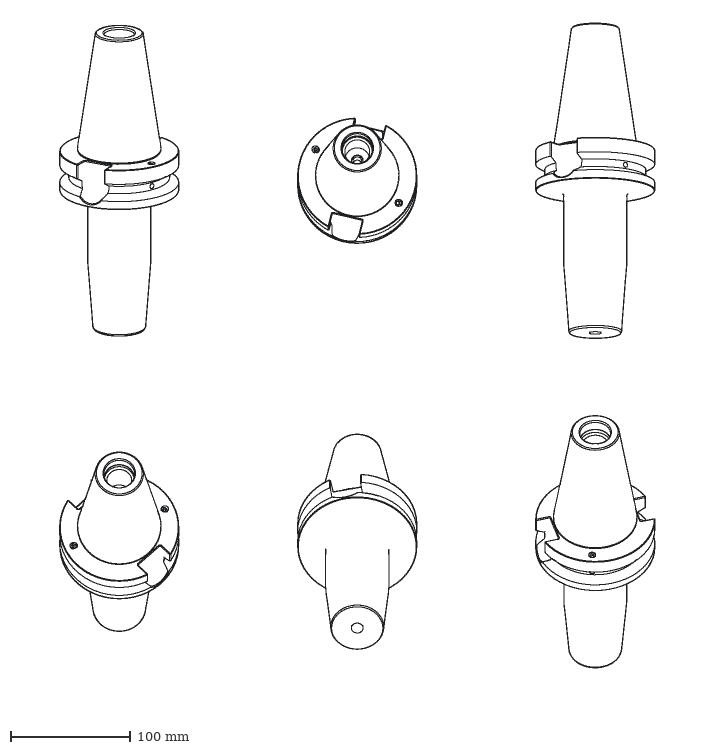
import cadquery as cq
import math

total_height = 261.8
gauge_height = 160.0
flange_top = 157.0
flange_bottom = 122.0
nose_cone_top = 57.3

flange_radius = 50.0
taper_large_radius = 35.0
relief_radius = 34.5
relief_height = 1.0
taper_slope = 7 / 48
nose_radius = 26.5
nose_tip_radius = 22.3

flange_chamfer = 0.5
taper_tip_chamfer = 1.0
nose_tip_chamfer_height = 1.5
nose_tip_chamfer_width = 0.8
nose_root_fillet = 5.0

groove_height = 137.0
groove_floor_radius = 42.5
groove_floor_width = 6.5
groove_wall_angle = 30.0

slot_width = 26.0
slot_floor_distance = 35.9
slot_arc_height = 138.0
slot_edge_chamfer = 0.8
slot_floor_fillet = 0.8

tolerance = 0.03

stud_mouth_radius = 13.5
stud_pilot_radius = 12.8
stud_pilot_depth = 10.0
stud_thread_radius = 12.5
stud_thread_depth = 13.4
stud_core_radius = 10.5
stud_core_depth = 44.5
stud_mouth_depth = 1.5
bore_step_angle = 30.0
coolant_radius = 5.0

stop_screw_length = 13.0
stop_screw_hole_radius = 3.7
stop_screw_mouth_radius = 4.7

screw_angles = (160.0, 340.0)
set_screw_pitch_radius = 42.0
set_screw_radius = 3.0
set_screw_length = 10.5
set_screw_recess = 2.0
set_screw_tilt = 20.0
hex_across_flats = 3.1
hex_depth = 3.1
plug_radius = 2.0
plug_length = 7.9

bore_step_slope = math.tan(math.radians(bore_step_angle))
stud_thread_step = (stud_thread_radius - stud_core_radius) * bore_step_slope
stud_core_bottom = total_height - stud_core_depth
stop_screw_top = stud_core_bottom - (stud_core_radius - coolant_radius) * bore_step_slope


def vertical_cylinder(radius, bottom, top):
    return cq.Workplane("XY").workplane(offset=bottom).circle(radius).extrude(top - bottom)


def holder_blank():
    """Revolved outside of the holder: nose, grooved flange and steep taper."""
    taper_small_radius = taper_large_radius - taper_slope * (total_height - gauge_height)
    wall_rise = (flange_radius - groove_floor_radius) * math.tan(math.radians(groove_wall_angle))
    floor_low = groove_height - groove_floor_width / 2
    floor_high = groove_height + groove_floor_width / 2
    arc_drop = nose_root_fillet * math.sqrt(0.5)
    arc_centre_radius = nose_radius + nose_root_fillet
    arc_centre_height = flange_bottom - nose_root_fillet
    return (
        cq.Workplane("XZ")
        .moveTo(0, 0)
        .lineTo(nose_tip_radius - nose_tip_chamfer_width, 0)
        .lineTo(nose_tip_radius, nose_tip_chamfer_height)
        .lineTo(nose_radius, nose_cone_top)
        .lineTo(nose_radius, arc_centre_height)
        .threePointArc(
            (arc_centre_radius - arc_drop, arc_centre_height + arc_drop),
            (arc_centre_radius, flange_bottom),
        )
        .lineTo(flange_radius - flange_chamfer, flange_bottom)
        .lineTo(flange_radius, flange_bottom + flange_chamfer)
        .lineTo(flange_radius, floor_low - wall_rise)
        .lineTo(groove_floor_radius, floor_low)
        .lineTo(groove_floor_radius, floor_high)
        .lineTo(flange_radius, floor_high + wall_rise)
        .lineTo(flange_radius, flange_top - flange_chamfer)
        .lineTo(flange_radius - flange_chamfer, flange_top)
        .lineTo(relief_radius, flange_top)
        .lineTo(relief_radius, flange_top + relief_height)
        .lineTo(taper_large_radius, flange_top + relief_height)
        .lineTo(taper_large_radius, gauge_height)
        .lineTo(taper_small_radius, total_height - taper_tip_chamfer)
        .lineTo(taper_small_radius - taper_tip_chamfer, total_height)
        .lineTo(0, total_height)
        .close()
        .revolve(360, (0, 0, 0), (0, 1, 0))
    )


def axial_bore():
    """Stepped pull stud bore with a coolant hole that runs to the bottom face."""
    return (
        cq.Workplane("XZ")
        .moveTo(0, 0)
        .lineTo(coolant_radius, 0)
        .lineTo(coolant_radius, stop_screw_top)
        .lineTo(stud_core_radius, stud_core_bottom)
        .lineTo(stud_core_radius, total_height - stud_thread_depth - stud_thread_step)
        .lineTo(stud_thread_radius, total_height - stud_thread_depth)
        .lineTo(stud_thread_radius, total_height - stud_pilot_depth)
        .lineTo(stud_pilot_radius, total_height - stud_pilot_depth)
        .lineTo(stud_pilot_radius, total_height - stud_mouth_depth)
        .lineTo(stud_mouth_radius, total_height)
        .lineTo(0, total_height)
        .close()
        .revolve(360, (0, 0, 0), (0, 1, 0))
    )


def drive_slot():
    """Round-ended slot cutter on the -Y side, open at the flange top."""
    half_width = slot_width / 2
    return (
        cq.Workplane("XZ", origin=(0, -slot_floor_distance, 0))
        .moveTo(-half_width, flange_top)
        .lineTo(-half_width, slot_arc_height)
        .threePointArc((0, slot_arc_height - half_width), (half_width, slot_arc_height))
        .lineTo(half_width, flange_top)
        .close()
        .extrude(flange_radius)
        .faces(">Y").edges("not >Z")
        .fillet(slot_floor_fillet)
    )


def place_set_screw_part(part, angle):
    """Move a part from the origin to the flange top, tilted about the hole mouth."""
    tilted = part.rotate((0, 0, 0), (0, 1, 0), set_screw_tilt)
    return tilted.translate((set_screw_pitch_radius, 0, flange_top)).rotate((0, 0, 0), (0, 0, 1), angle)


def set_screw_hole(angle):
    bottom = -set_screw_recess - set_screw_length
    return place_set_screw_part(vertical_cylinder(set_screw_radius, bottom, set_screw_radius), angle)


def set_screw(angle):
    """Headless screw with a hexagon socket in its top."""
    head = -set_screw_recess
    hex_corner_diameter = hex_across_flats / math.cos(math.pi / 6)
    body = vertical_cylinder(set_screw_radius, head - set_screw_length, head)
    socket = (
        cq.Workplane("XY")
        .workplane(offset=head - hex_depth)
        .polygon(6, hex_corner_diameter)
        .extrude(hex_depth)
    )
    return place_set_screw_part(body.cut(socket), angle)


def groove_plug(angle):
    """Radial plug whose outer end follows the groove floor."""
    rod = (
        cq.Workplane("YZ", origin=(groove_floor_radius - plug_length, 0, groove_height))
        .circle(plug_radius)
        .extrude(2 * plug_length)
    )
    groove_core = vertical_cylinder(groove_floor_radius, flange_bottom, flange_top)
    return rod.intersect(groove_core).rotate((0, 0, 0), (0, 0, 1), angle)


def stop_screw():
    """Hollow screw in the coolant bore with a conical mouth."""
    bottom = stop_screw_top - stop_screw_length
    mouth_bottom = stop_screw_top - (stop_screw_mouth_radius - stop_screw_hole_radius)
    return (
        cq.Workplane("XZ")
        .moveTo(stop_screw_hole_radius, bottom)
        .lineTo(coolant_radius, bottom)
        .lineTo(coolant_radius, stop_screw_top)
        .lineTo(stop_screw_mouth_radius, stop_screw_top)
        .lineTo(stop_screw_hole_radius, mouth_bottom)
        .close()
        .revolve(360, (0, 0, 0), (0, 1, 0))
    )


def is_slot_rim(edge):
    """True for slot edges on the flange top or on its outer surface, away from the groove."""
    middle = edge.positionAt(0.5)
    from_axis = math.hypot(middle.x, middle.y)
    in_slot = abs(middle.x) < slot_width / 2 + tolerance and abs(middle.y) > slot_floor_distance - tolerance
    on_top = abs(middle.z - flange_top) < tolerance
    on_outside = from_axis > flange_radius - flange_chamfer and middle.z > groove_height - slot_width / 2
    return in_slot and (on_top or on_outside)


def chamfer_slot_rims(body):
    rims = [edge for edge in body.edges().vals() if is_slot_rim(edge)]
    return body.newObject(rims).chamfer(slot_edge_chamfer)


set_screws = [set_screw(angle) for angle in screw_angles]
groove_plugs = [groove_plug(angle) for angle in screw_angles]

holder = holder_blank().cut(axial_bore())
for turn in (0, 180):
    holder = holder.cut(drive_slot().rotate((0, 0, 0), (0, 0, 1), turn))
holder = chamfer_slot_rims(holder)
for angle in screw_angles:
    holder = holder.cut(set_screw_hole(angle)).cut(groove_plug(angle))

result = cq.Compound.makeCompound(
    [holder.val(), stop_screw().val()]
    + [screw.val() for screw in set_screws]
    + [plug.val() for plug in groove_plugs]
)